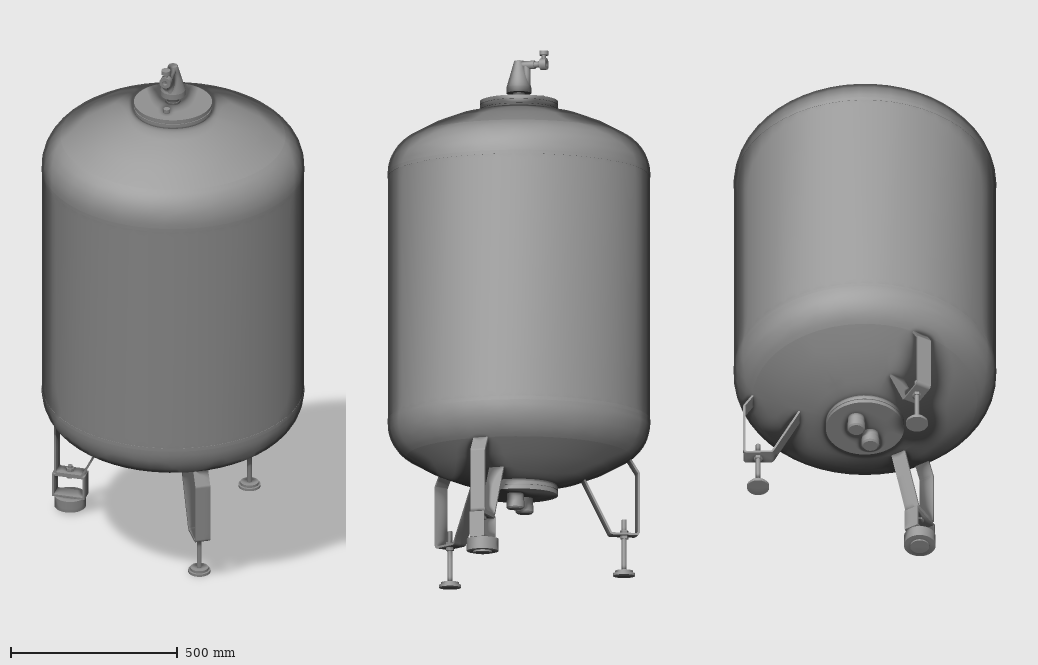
import cadquery as cq
import math

TANK_DIAMETER = 787.0
TANK_RADIUS = TANK_DIAMETER / 2
TANK_MID_Z = 835.0
SHELL_HALF_HEIGHT = 380.0
CROWN_RADIUS = 0.8 * TANK_DIAMETER
KNUCKLE_RADIUS = 0.154 * TANK_DIAMETER
SEAM_SPACING = 11.0
SEAM_STEP = 0.8

FLANGE_DIAMETER = 235.0
FLANGE_HALF_SPAN = 600.0
FLANGE_THICKNESS = 11.0
FLANGE_GAP = 3.0
GASKET_DIAMETER = 230.0
NOZZLE_XS = (-32.0, 50.0)
NOZZLE_DIAMETER = 54.0
NOZZLE_NECK_DIAMETER = 50.0
NOZZLE_NECK_LENGTH = 22.0
NOZZLE_LENGTH = 46.0
NOZZLE_CHAMFER = 5.0
PLUG_DIAMETER = 20.0
PLUG_HEIGHT = 13.0
PLUG_Y = -70.0

LEG_WIDTH = 46.0
LEG_THICKNESS = 6.0
LEG_BEND_RADIUS = 11.0
LEG_OUTER_RADIUS = 365.0
LEG_INNER_RADIUS = 275.0
LEG_BOTTOM_Z = 122.0
LEG_BEND_Z = 312.0
LEG_TOP = (325.0, 374.0)
STRUT_TOP = (182.0, 305.0)
FOOT_RADIUS = (LEG_OUTER_RADIUS + LEG_INNER_RADIUS) / 2
CELL_ANGLE = 180
FOOT_ANGLES = (60, -60)

ROD_DIAMETER = 15.0
ROD_TOP_Z = 171.0
NUT_ACROSS_CORNERS = 25.0
NUT_HEIGHT = 10.0
PAD_DIAMETER = 67.0
PAD_HEIGHT = 8.0
PAD_STEP_DIAMETER = 54.0
PAD_STEP_HEIGHT = 8.0
BOLT_TOP_Z = 145.0

BRACKET_LENGTH = 101.0
BRACKET_THICKNESS = 6.0
CELL_DIAMETER = 95.0
CELL_TOP_Z = 46.0
CELL_BODY_Z = 10.0
CELL_BASE_DIAMETER = 57.0
CELL_BASE_Z = 5.0

VALVE_BASE_DIAMETER = 45.0
VALVE_BASE_HEIGHT = 6.0
VALVE_NECK_DIAMETER = 36.0
VALVE_BODY_DIAMETER = 75.0
VALVE_BODY_Z = 1460.0
VALVE_CONE_Z = 1478.0
VALVE_TOP_DIAMETER = 29.0
VALVE_TOP_Z = 1559.0
ARM_DIAMETER = 25.0
ARM_Z = 1545.0
ARM_END_Y = -50.0
RISER_DIAMETER = 24.0
RISER_FRONT_Y = -36.0
OUTLET_PIPE_DIAMETER = 19.0
OUTLET_DIAMETER = 35.0
OUTLET_START_Y = -70.0
OUTLET_END_Y = -89.0
OUTLET_BORE_DIAMETER = 16.0
OUTLET_BORE_DEPTH = 10.0
CAP_STEM_DIAMETER = 13.0
CAP_DIAMETER = 27.0
CAP_HEIGHT = 13.0
CAP_TOP_Z = 1585.0

TOP_FACE_Z = TANK_MID_Z + FLANGE_HALF_SPAN
BOTTOM_FACE_Z = TANK_MID_Z - FLANGE_HALF_SPAN


def cylinder(diameter, z_low, z_high, x=0.0, y=0.0):
    """Upright cylinder between two heights."""
    return cq.Workplane("XY", origin=(x, y, z_low)).circle(diameter / 2).extrude(z_high - z_low)


def cylinder_along_y(diameter, y_start, y_end, z):
    """Cylinder that runs towards -Y from y_start to y_end."""
    return cq.Workplane("XZ", origin=(0, y_start, z)).circle(diameter / 2).extrude(y_start - y_end)


def turned(shape, angle):
    """Copy of a shape turned about the tank axis."""
    return shape.rotate((0, 0, 0), (0, 0, 1), angle)


def make_vessel():
    """Closed vessel with dished ends, revolved about the tank axis."""
    knuckle_centre_r = TANK_RADIUS - KNUCKLE_RADIUS
    tangent = math.acos(knuckle_centre_r / (CROWN_RADIUS - KNUCKLE_RADIUS))
    crown_centre_h = SHELL_HALF_HEIGHT - (CROWN_RADIUS - KNUCKLE_RADIUS) * math.sin(tangent)

    def on_knuckle(angle, side):
        return (knuckle_centre_r + KNUCKLE_RADIUS * math.cos(angle),
                side * (SHELL_HALF_HEIGHT + KNUCKLE_RADIUS * math.sin(angle)))

    def on_crown(angle, side):
        return (CROWN_RADIUS * math.cos(angle),
                side * (crown_centre_h + CROWN_RADIUS * math.sin(angle)))

    apex = math.pi / 2
    mid_crown = (tangent + apex) / 2
    seam_h = SHELL_HALF_HEIGHT - SEAM_SPACING
    shell_radius = TANK_RADIUS - SEAM_STEP
    profile = (
        cq.Workplane("XZ", origin=(0, 0, TANK_MID_Z))
        .moveTo(*on_crown(apex, -1))
        .threePointArc(on_crown(mid_crown, -1), on_knuckle(tangent, -1))
        .threePointArc(on_knuckle(tangent / 2, -1), (TANK_RADIUS, -SHELL_HALF_HEIGHT))
        .lineTo(TANK_RADIUS, -seam_h)
        .lineTo(shell_radius, -seam_h)
        .lineTo(shell_radius, seam_h)
        .lineTo(TANK_RADIUS, seam_h)
        .lineTo(TANK_RADIUS, SHELL_HALF_HEIGHT)
        .threePointArc(on_knuckle(tangent / 2, 1), on_knuckle(tangent, 1))
        .threePointArc(on_crown(mid_crown, 1), on_crown(apex, 1))
        .close()
    )
    return profile.revolve(360, (0, 0, 0), (0, 1, 0))


def make_top_flange():
    """Pair of flange rings on a neck of gasket diameter that reaches into the vessel."""
    gap_high = TOP_FACE_Z - FLANGE_THICKNESS
    gap_low = gap_high - FLANGE_GAP
    neck_bottom = TANK_MID_Z + SHELL_HALF_HEIGHT
    flange = cylinder(FLANGE_DIAMETER, gap_high, TOP_FACE_Z)
    flange = flange.union(cylinder(FLANGE_DIAMETER, gap_low - FLANGE_THICKNESS, gap_low))
    return flange.union(cylinder(GASKET_DIAMETER, neck_bottom, gap_high))


def make_nozzle(x):
    neck_bottom = BOTTOM_FACE_Z - NOZZLE_NECK_LENGTH
    neck = cylinder(NOZZLE_NECK_DIAMETER, neck_bottom, BOTTOM_FACE_Z, x)
    collar = cylinder(NOZZLE_DIAMETER, BOTTOM_FACE_Z - NOZZLE_LENGTH, neck_bottom, x)
    return neck.union(collar.faces("<Z").chamfer(NOZZLE_CHAMFER))


def make_leg(angle):
    """Closed bent strip whose top run lies inside the tank, with a hole for the foot rod."""
    corners = [
        LEG_TOP,
        (LEG_OUTER_RADIUS, LEG_BEND_Z),
        (LEG_OUTER_RADIUS, LEG_BOTTOM_Z),
        (LEG_INNER_RADIUS, LEG_BOTTOM_Z),
        STRUT_TOP,
    ]

    def rounded_block(bend_radius):
        """Block between the bend centres, grown by bend_radius so that its corners are round."""
        bend_centres = cq.Workplane("XZ").polyline(corners).close().offset2D(-LEG_BEND_RADIUS)
        return bend_centres.toPending().offset2D(bend_radius).extrude(LEG_WIDTH / 2, both=True)

    outside = rounded_block(LEG_BEND_RADIUS)
    inside = rounded_block(LEG_BEND_RADIUS - LEG_THICKNESS)
    hole = cylinder(ROD_DIAMETER, LEG_BOTTOM_Z, LEG_BOTTOM_Z + LEG_THICKNESS, FOOT_RADIUS)
    return turned(outside.cut(inside).cut(hole), angle)


def make_tank():
    top_flange = make_top_flange()
    bottom_flange = top_flange.mirror("XY", (0, 0, TANK_MID_Z))
    tank = make_vessel().union(top_flange).union(bottom_flange)
    tank = tank.union(cylinder(PLUG_DIAMETER, TOP_FACE_Z, TOP_FACE_Z + PLUG_HEIGHT, y=PLUG_Y))
    for x in NOZZLE_XS:
        tank = tank.union(make_nozzle(x))
    for angle in (CELL_ANGLE, *FOOT_ANGLES):
        tank = tank.union(make_leg(angle))
    return tank


def make_nut(z_low):
    nut = cq.Workplane("XY", origin=(FOOT_RADIUS, 0, z_low))
    return nut.polygon(6, NUT_ACROSS_CORNERS).extrude(NUT_HEIGHT)


def make_foot(angle):
    step_top = PAD_HEIGHT + PAD_STEP_HEIGHT
    foot = cylinder(PAD_DIAMETER, 0, PAD_HEIGHT, FOOT_RADIUS)
    foot = foot.union(cylinder(PAD_STEP_DIAMETER, PAD_HEIGHT, step_top, FOOT_RADIUS))
    foot = foot.union(cylinder(ROD_DIAMETER, step_top, ROD_TOP_Z, FOOT_RADIUS))
    foot = foot.union(make_nut(LEG_BOTTOM_Z - NUT_HEIGHT))
    foot = foot.union(make_nut(LEG_BOTTOM_Z + LEG_THICKNESS))
    return turned(foot, angle)


def make_bracket():
    height = LEG_BOTTOM_Z - CELL_TOP_Z
    mid_z = (LEG_BOTTOM_Z + CELL_TOP_Z) / 2
    frame = (
        cq.Workplane("XZ", origin=(FOOT_RADIUS, 0, mid_z))
        .rect(BRACKET_LENGTH, height)
        .rect(BRACKET_LENGTH - 2 * BRACKET_THICKNESS, height - 2 * BRACKET_THICKNESS)
        .extrude(LEG_WIDTH / 2, both=True)
    )
    lower_nut_z = LEG_BOTTOM_Z - BRACKET_THICKNESS - NUT_HEIGHT
    frame = frame.union(cylinder(ROD_DIAMETER, lower_nut_z, BOLT_TOP_Z, FOOT_RADIUS))
    frame = frame.union(make_nut(lower_nut_z))
    frame = frame.union(make_nut(LEG_BOTTOM_Z + LEG_THICKNESS))
    return turned(frame, CELL_ANGLE)


def make_load_cell():
    cell = cylinder(CELL_DIAMETER, CELL_BODY_Z, CELL_TOP_Z, FOOT_RADIUS)
    cell = cell.union(cylinder(CELL_BASE_DIAMETER, CELL_BASE_Z, CELL_BODY_Z, FOOT_RADIUS))
    return turned(cell, CELL_ANGLE)


def make_vent_valve():
    base_top = TOP_FACE_Z + VALVE_BASE_HEIGHT
    valve = (
        cq.Workplane("XZ")
        .moveTo(0, TOP_FACE_Z)
        .lineTo(VALVE_BASE_DIAMETER / 2, TOP_FACE_Z)
        .lineTo(VALVE_BASE_DIAMETER / 2, base_top)
        .lineTo(VALVE_NECK_DIAMETER / 2, base_top)
        .lineTo(VALVE_NECK_DIAMETER / 2, VALVE_BODY_Z)
        .lineTo(VALVE_BODY_DIAMETER / 2, VALVE_BODY_Z)
        .lineTo(VALVE_BODY_DIAMETER / 2, VALVE_CONE_Z)
        .lineTo(VALVE_TOP_DIAMETER / 2, VALVE_TOP_Z)
        .lineTo(0, VALVE_TOP_Z)
        .close()
        .revolve(360, (0, 0, 0), (0, 1, 0))
    )

    riser_y = RISER_FRONT_Y + RISER_DIAMETER / 2
    valve = valve.union(cylinder(RISER_DIAMETER, VALVE_CONE_Z, ARM_Z, y=riser_y))
    valve = valve.union(cylinder_along_y(ARM_DIAMETER, 0, ARM_END_Y, ARM_Z))
    valve = valve.union(cylinder_along_y(OUTLET_PIPE_DIAMETER, ARM_END_Y, OUTLET_START_Y, ARM_Z))

    cap_y = (OUTLET_START_Y + OUTLET_END_Y) / 2
    cap_bottom = CAP_TOP_Z - CAP_HEIGHT
    valve = valve.union(cylinder_along_y(OUTLET_DIAMETER, OUTLET_START_Y, OUTLET_END_Y, ARM_Z))
    valve = valve.union(cylinder(CAP_STEM_DIAMETER, ARM_Z, cap_bottom, y=cap_y))
    valve = valve.union(cylinder(CAP_DIAMETER, cap_bottom, CAP_TOP_Z, y=cap_y))
    bore_start = OUTLET_END_Y + OUTLET_BORE_DEPTH
    return valve.cut(cylinder_along_y(OUTLET_BORE_DIAMETER, bore_start, OUTLET_END_Y, ARM_Z))


tank = make_tank()
feet = [make_foot(angle) for angle in FOOT_ANGLES]
bracket = make_bracket()
load_cell = make_load_cell()
vent_valve = make_vent_valve()

result = cq.Compound.makeCompound([
    tank.val(),
    *[foot.val() for foot in feet],
    bracket.val(),
    load_cell.val(),
    vent_valve.val(),
])